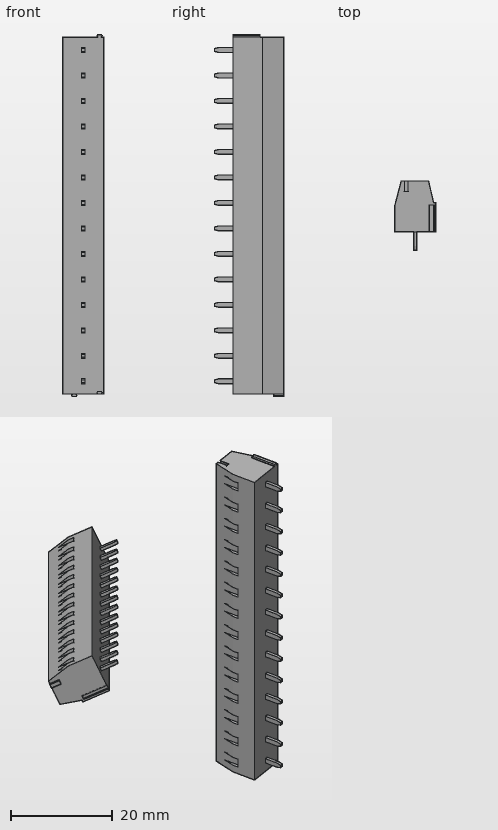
import cadquery as cq


pole_count = 14
pitch = 5.0

interlock_height = 0.5
interlock_waist_height = 0.3
interlock_waist_width = 1.1
interlock_edge_width = 0.7
front_interlock_x = 7.25
front_interlock_length = 5.3
back_interlock_x = 2.3
back_interlock_length = 2.05

overall_length = 71.0
body_length = overall_length - 2 * interlock_height
body_width = 8.1
body_depth = 10.0
left_shoulder_y = body_depth - 4.9
right_ledge_y = body_depth - 4.25
right_ledge_width = 0.4
back_left_x = 1.3
back_right_x = 6.7

window_front_y = 4.0
window_length = 3.6
window_height = 1.85
window_floor_x = 0.65

pin_x = 4.05
pin_thickness = 0.65
pin_height = 1.0
pin_length = 3.6
pin_tip_length = 0.8
pin_tip_height = 0.6
pin_root_length = 0.7


def make_body():
    """Housing profile, tapered towards its back, extruded along Z."""
    return (
        cq.Workplane("XY")
        .polyline([
            (0, 0),
            (body_width, 0),
            (body_width, right_ledge_y),
            (body_width - right_ledge_width, right_ledge_y),
            (back_right_x, body_depth),
            (back_left_x, body_depth),
            (0, left_shoulder_y),
        ])
        .close()
        .extrude(body_length)
    )


def make_interlock(center_x, start_y, length, root_z, direction):
    """Six-sided bar along Y, rising from root_z up (direction 1) or down (direction -1)."""
    half_edge = interlock_edge_width / 2
    half_waist = interlock_waist_width / 2
    waist_z = root_z + direction * interlock_waist_height
    tip_z = root_z + direction * interlock_height
    return (
        cq.Workplane("XZ", origin=(center_x, start_y, 0))
        .polyline([
            (-half_edge, root_z),
            (half_edge, root_z),
            (half_waist, waist_z),
            (half_edge, tip_z),
            (-half_edge, tip_z),
            (-half_waist, waist_z),
        ])
        .close()
        .extrude(-length)
    )


def make_window(center_z):
    """Cutter for one wire window."""
    return (
        cq.Workplane("XY")
        .box(window_floor_x, window_length, window_height, centered=(False, False, True))
        .translate((0, window_front_y, center_z))
    )


def make_pin(center_z):
    """Flat pin pointing to -Y."""
    half_height = pin_height / 2
    half_tip = pin_tip_height / 2
    tip_start_y = pin_tip_length - pin_length
    return (
        cq.Workplane("YZ", origin=(pin_x - pin_thickness / 2, 0, center_z))
        .polyline([
            (pin_root_length, -half_height),
            (pin_root_length, half_height),
            (tip_start_y, half_height),
            (-pin_length, half_tip),
            (-pin_length, -half_tip),
            (tip_start_y, -half_height),
        ])
        .close()
        .extrude(pin_thickness)
    )


result = make_body()

front_interlock = (front_interlock_x, 0, front_interlock_length)
back_interlock = (back_interlock_x, body_depth - back_interlock_length, back_interlock_length)

result = result.union(make_interlock(*front_interlock, body_length, 1))
result = result.cut(make_interlock(*front_interlock, 0, 1))
result = result.cut(make_interlock(*back_interlock, body_length, -1))
result = result.union(make_interlock(*back_interlock, 0, -1))

first_pole_z = (body_length - (pole_count - 1) * pitch) / 2
for pole in range(pole_count):
    pole_z = first_pole_z + pole * pitch
    result = result.cut(make_window(pole_z))
    result = result.union(make_pin(pole_z))